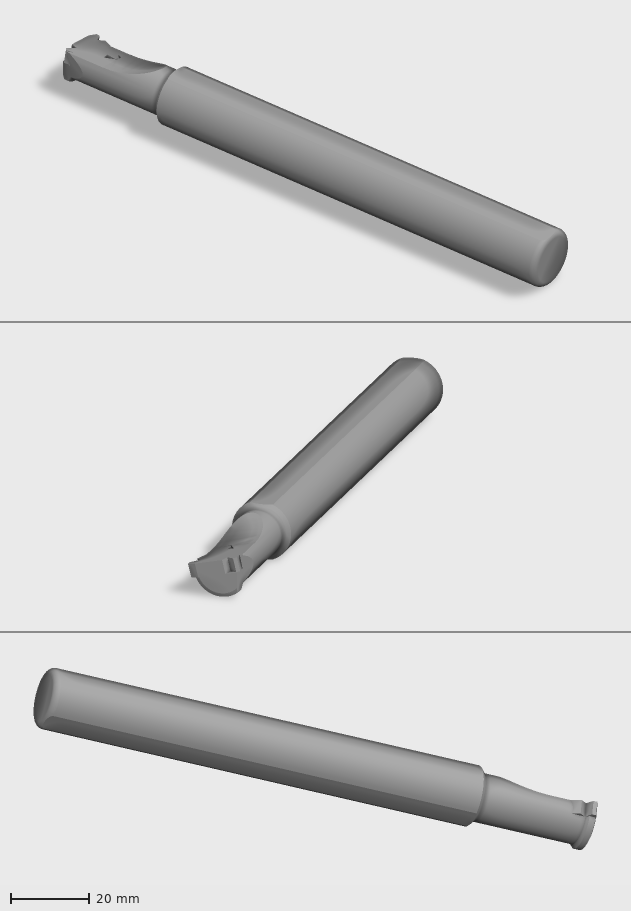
import cadquery as cq
import math

TOTAL_LENGTH = 150.0
SHANK_RADIUS = 16.0 / 2
FLAT_HEIGHT = 14.8 / 2
REAR_ROUND = 1.6

NECK_RADIUS = 12.8 / 2
NECK_END_X = 29.5
FLARE_FILLET_RADIUS = 1.6
FLARE_ANGLE = 45.0
SHANK_START_X = 31.8

RIM_FACE_RADIUS = 6.3
RIM_RADIUS = 7.4
RIM_CREST_START_X = 0.5
RIM_CREST_END_X = 2.1
RIM_END_X = 2.8

RELIEF_Y = -4.5
RELIEF_LENGTH = 7.5

TILT = 14.0
INSERT_TOP = 2.5
INSERT_THICKNESS = 3.8
INSERT_INRADIUS = 4.8
INSERT_CENTRE_V = 1.8
INSERT_FLOOR = INSERT_TOP - INSERT_THICKNESS

EDGE_END_V = 6.5
TIP_V = 8.7
TIP_START_X = 0.9
TIP_END_X = 2.0
NOTCH_X = 3.0
NOTCH_V = 6.2
SHOULDER_X = 4.6

FLUTE_STRAIGHT_END_X = 12.8
FLUTE_RADIUS = 30.0
FLUTE_CLEARANCE = 9.0
FLUTE_HALF_WIDTH = 12.0
FLUTE_OVERRUN = 1.5

INSERT_CORNERS = 3
EDGE_SLOPE = math.tan(math.radians(30))
insert_apex_x = 3 * INSERT_INRADIUS


def tilted(body):
    """Turn a body built level into the tilted insert frame."""
    return body.rotate((0, 0, 0), (1, 0, 0), -TILT)


def insert_points():
    """Triangle with a notched cutting tip repeated at each corner."""
    shoulder_v = INSERT_CENTRE_V + (insert_apex_x - SHOULDER_X) * EDGE_SLOPE
    corner = [
        (0, EDGE_END_V),
        (TIP_START_X, TIP_V),
        (TIP_END_X, TIP_V),
        (NOTCH_X, NOTCH_V),
        (SHOULDER_X, shoulder_v),
    ]
    points = []
    for index in range(INSERT_CORNERS):
        turn = math.radians(-360 / INSERT_CORNERS * index)
        for x, v in corner:
            from_centre_x = x - INSERT_INRADIUS
            from_centre_v = v - INSERT_CENTRE_V
            points.append((
                INSERT_INRADIUS + from_centre_x * math.cos(turn) - from_centre_v * math.sin(turn),
                INSERT_CENTRE_V + from_centre_x * math.sin(turn) + from_centre_v * math.cos(turn),
            ))
    return points


def make_insert():
    plate = cq.Workplane("XY").workplane(offset=INSERT_FLOOR)
    return tilted(plate.polyline(insert_points()).close().extrude(INSERT_THICKNESS))


def turned_blank():
    """Rim, neck, flare and shank as one turned profile."""
    angle = math.radians(FLARE_ANGLE)
    cone_start_x = NECK_END_X + FLARE_FILLET_RADIUS * math.sin(angle)
    cone_start_r = NECK_RADIUS + FLARE_FILLET_RADIUS * (1 - math.cos(angle))
    fillet_mid_x = NECK_END_X + FLARE_FILLET_RADIUS * math.sin(angle / 2)
    fillet_mid_r = NECK_RADIUS + FLARE_FILLET_RADIUS * (1 - math.cos(angle / 2))
    profile = (
        cq.Workplane("XY")
        .lineTo(0, RIM_FACE_RADIUS)
        .lineTo(RIM_CREST_START_X, RIM_RADIUS)
        .lineTo(RIM_CREST_END_X, RIM_RADIUS)
        .lineTo(RIM_END_X, NECK_RADIUS)
        .lineTo(NECK_END_X, NECK_RADIUS)
        .threePointArc((fillet_mid_x, fillet_mid_r), (cone_start_x, cone_start_r))
        .lineTo(SHANK_START_X, SHANK_RADIUS)
        .lineTo(TOTAL_LENGTH, SHANK_RADIUS)
        .lineTo(TOTAL_LENGTH, 0)
        .close()
    )
    return profile.revolve(360, (0, 0), (1, 0)).faces(">X").edges().fillet(REAR_ROUND)


def flat_envelope():
    """Block whose top and bottom are the two clamping flats."""
    return cq.Workplane("XY").box(
        TOTAL_LENGTH, 2 * SHANK_RADIUS, 2 * FLAT_HEIGHT, centered=(False, True, True)
    )


def flute_cutter():
    """Flat floor level with the insert top, rising along an arc at its rear end."""
    arc_centre_z = INSERT_TOP + FLUTE_RADIUS
    arc_rise = FLUTE_CLEARANCE - INSERT_TOP
    sweep = math.acos(1 - arc_rise / FLUTE_RADIUS)

    def arc_point(angle):
        return (
            FLUTE_STRAIGHT_END_X + FLUTE_RADIUS * math.sin(angle),
            arc_centre_z - FLUTE_RADIUS * math.cos(angle),
        )

    outline = (
        cq.Workplane("XZ")
        .moveTo(-FLUTE_OVERRUN, INSERT_TOP)
        .lineTo(FLUTE_STRAIGHT_END_X, INSERT_TOP)
        .threePointArc(arc_point(sweep / 2), arc_point(sweep))
        .lineTo(-FLUTE_OVERRUN, FLUTE_CLEARANCE)
        .close()
    )
    return tilted(outline.extrude(FLUTE_HALF_WIDTH, both=True))


def pocket_cutter():
    """Sharp-cornered triangular seat for the insert."""
    half_width = insert_apex_x * EDGE_SLOPE
    outline = (
        cq.Workplane("XY")
        .workplane(offset=INSERT_FLOOR)
        .moveTo(0, INSERT_CENTRE_V - half_width)
        .lineTo(0, INSERT_CENTRE_V + half_width)
        .lineTo(insert_apex_x, INSERT_CENTRE_V)
        .close()
    )
    return tilted(outline.extrude(INSERT_THICKNESS))


def relief_cutter():
    """Wedge removed from the -Y side of the nose, full height."""
    outline = (
        cq.Workplane("XY")
        .workplane(offset=-SHANK_RADIUS)
        .moveTo(0, RELIEF_Y)
        .lineTo(RELIEF_LENGTH, -NECK_RADIUS)
        .lineTo(RELIEF_LENGTH, -SHANK_RADIUS)
        .lineTo(0, -SHANK_RADIUS)
        .close()
    )
    return outline.extrude(2 * SHANK_RADIUS)


def make_holder():
    holder = turned_blank().intersect(flat_envelope())
    return holder.cut(flute_cutter()).cut(pocket_cutter()).cut(relief_cutter())


holder = make_holder()
insert = make_insert()
result = cq.Compound.makeCompound([holder.solids().val(), insert.val()])